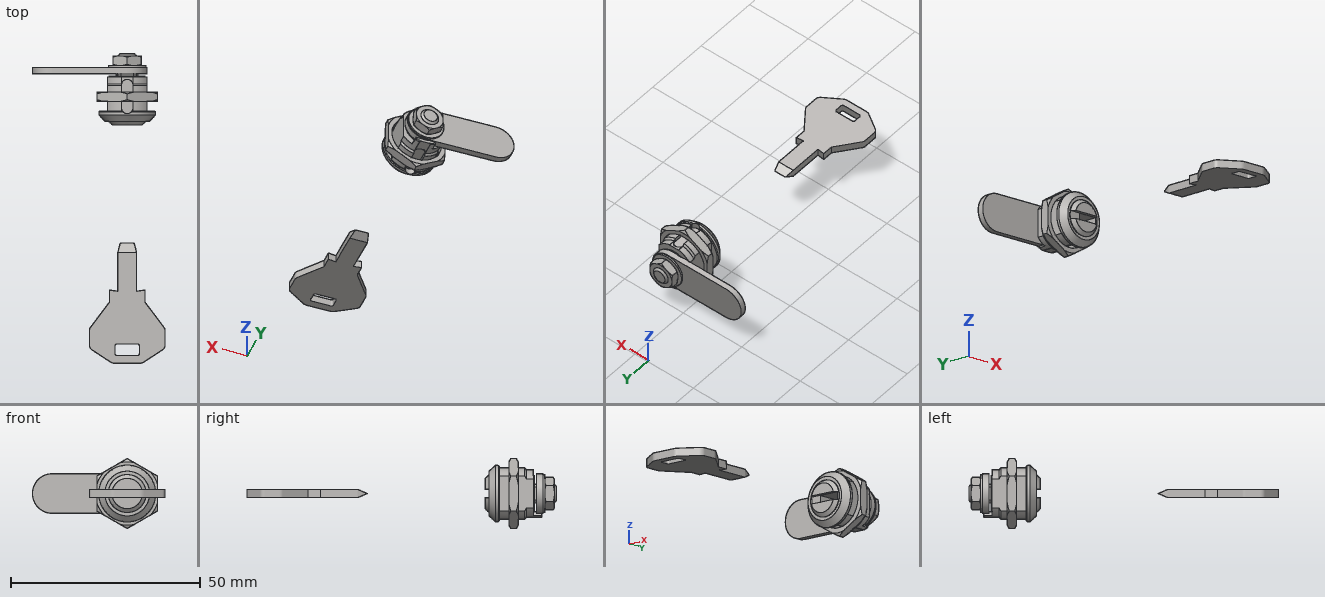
import cadquery as cq
import math


core_front_y = -3.75
housing_front_y = -2.75
panel_nut_y = 2.5
housing_rear_y = 9.0
core_shoulder_y = 9.25
cam_y = 9.75
key_tip_y = -34.75

barrel_radius = 7.0
barrel_flat_width = 10.5
neck_radius = 6.5
neck_length = 2.35
neck_taper = barrel_radius - neck_radius
flange_radius = 7.5
flange_front_radius = 5.9
flange_rim = 1.0
flange_rear_chamfer = 0.25
groove_width = 3.0
groove_floor_z = 6.2
pocket_floor_z = 5.8
pocket_front_y = -0.7
pocket_rear_y = 8.35

tab_inner_radius = 5.35
tab_half_angle = 26.5
tab_length = 2.25
tab_chamfer = 0.25

core_radius = 4.75
head_base_radius = 5.0
head_front_radius = 4.0
head_recess = 0.3
head_slot_width = 2.2
head_slot_depth = 1.0
keyway_left_x = -1.6
keyway_right_x = 4.4
keyway_height = 2.1
keyway_end_y = 8.5
stud_radius = 2.5
stud_tip_chamfer = 0.6
drive_square = 5.0
drive_corner_radius = 3.0

panel_nut_flats = 16.0
panel_nut_thickness = 2.5
panel_nut_face_radius = 8.35

cam_half_width = 5.25
cam_reach = 25.0
cam_thickness = 1.75

washer_radius = 5.0
washer_thickness = 0.5
flange_nut_flats = 7.5
flange_nut_height = 2.5
flange_nut_face_radius = 3.8
nut_chamfer_angle = 30.0

washer_y = cam_y + cam_thickness
flange_nut_y = washer_y + washer_thickness
flange_nut_rear_y = flange_nut_y + flange_nut_height
stud_end_y = flange_nut_rear_y + stud_tip_chamfer

key_thickness = 2.2
key_length = 31.75
blade_half_width = 2.5
blade_tip_half_width = 1.85
blade_tip_length = 2.5
blade_tip_round = 0.5
shoulder_y = key_tip_y - 12.4
shoulder_root_drop = 0.3
collar_half_width = 4.7
collar_end_y = key_tip_y - 15.6
bow_half_width = 10.0
bow_upper_y = key_tip_y - 22.65
bow_lower_y = key_tip_y - 27.75
bow_end_half_width = 3.9
bow_side_round = 1.5
bow_end_round = 2.2
ring_slot_width = 6.4
ring_slot_height = 3.0
ring_slot_offset = 2.1
ring_slot_round = 0.5
key_end_y = key_tip_y - key_length


def revolved(profile):
    """Solid of revolution about Y from (radius, y) points."""
    return cq.Workplane("XY").polyline(profile).close().revolve(360, (0, 0, 0), (0, 1, 0))


def cylinder(radius, y_start, y_end):
    return revolved([(0, y_start), (radius, y_start), (radius, y_end), (0, y_end)])


def box(x_range, y_range, z_range):
    low, high = zip(x_range, y_range, z_range)
    size = [b - a for a, b in zip(low, high)]
    return cq.Workplane("XY").box(*size, centered=False).translate(low)


def hexagon(flats, y_start, height, face_radius):
    """Hexagon with corners on Z whose corners are chamfered at both ends."""
    corner_radius = flats / math.sqrt(3)
    drop = (corner_radius - face_radius) * math.tan(math.radians(nut_chamfer_angle))
    y_end = y_start + height
    prism = (
        cq.Workplane("XZ", origin=(0, y_start, 0))
        .polygon(6, 2 * corner_radius)
        .extrude(-height)
        .rotate((0, 0, 0), (0, 1, 0), 30)
    )
    envelope = revolved([
        (0, y_start),
        (face_radius, y_start),
        (corner_radius, y_start + drop),
        (corner_radius, y_end - drop),
        (face_radius, y_end),
        (0, y_end),
    ])
    return prism.intersect(envelope)


def drive(y_start, y_end):
    """Square with rounded corners that turns the cam."""
    half = drive_square / 2
    square = box((-half, half), (y_start, y_end), (-half, half))
    return square.intersect(cylinder(drive_corner_radius, y_start, y_end))


def make_stop_tab():
    """Ring segment at the bottom of the housing's rear face, with flat room for the cam."""
    tab_end_y = housing_rear_y + tab_length
    ring = revolved([
        (tab_inner_radius, housing_rear_y - neck_length),
        (neck_radius, housing_rear_y - neck_length),
        (neck_radius, tab_end_y - tab_chamfer),
        (neck_radius - tab_chamfer, tab_end_y),
        (tab_inner_radius, tab_end_y),
    ])
    reach = 2 * neck_radius
    spread = reach * math.tan(math.radians(tab_half_angle))
    wedge = (
        cq.Workplane("XZ")
        .polyline([(0, 0), (spread, -reach), (-spread, -reach)])
        .close()
        .extrude(-2 * tab_end_y)
    )
    cam_clearance = box(
        (-neck_radius, neck_radius),
        (cam_y, tab_end_y),
        (-cam_half_width, 0),
    )
    return ring.intersect(wedge).cut(cam_clearance)


def make_housing():
    neck_start_y = housing_rear_y - neck_length
    barrel = revolved([
        (0, 0),
        (barrel_radius, 0),
        (barrel_radius, neck_start_y),
        (neck_radius, neck_start_y + neck_taper),
        (neck_radius, housing_rear_y),
        (0, housing_rear_y),
    ])
    half_flat = barrel_flat_width / 2
    barrel = barrel.intersect(
        box(
            (-half_flat, half_flat),
            (0, housing_rear_y),
            (-barrel_radius, barrel_radius),
        )
    )
    flange = revolved([
        (0, housing_front_y),
        (flange_front_radius, housing_front_y),
        (flange_radius, -flange_rim),
        (flange_radius, -flange_rear_chamfer),
        (flange_radius - flange_rear_chamfer, 0),
        (0, 0),
    ])
    body = barrel.union(make_stop_tab()).union(flange)

    groove = box(
        (-groove_width / 2, groove_width / 2),
        (0, housing_rear_y + tab_length),
        (groove_floor_z, flange_radius),
    )
    pocket = (
        cq.Workplane("XY", origin=(0, (pocket_front_y + pocket_rear_y) / 2, pocket_floor_z))
        .slot2D(pocket_rear_y - pocket_front_y, groove_width, 90)
        .extrude(flange_radius - pocket_floor_z)
    )
    key_groove = groove.union(pocket)
    body = body.cut(key_groove).cut(key_groove.mirror("XY"))

    bore = cylinder(core_radius, housing_front_y, housing_rear_y)
    recess = cylinder(head_base_radius, housing_front_y, housing_front_y + head_recess)
    return body.cut(bore).cut(recess)


def make_core():
    head_rear_y = housing_front_y + head_recess
    core = revolved([
        (0, core_front_y),
        (head_front_radius, core_front_y),
        (head_base_radius, housing_front_y),
        (head_base_radius, head_rear_y),
        (core_radius, head_rear_y),
        (core_radius, core_shoulder_y),
        (stud_radius, core_shoulder_y),
        (stud_radius, flange_nut_rear_y),
        (stud_radius - stud_tip_chamfer, stud_end_y),
        (0, stud_end_y),
    ])
    core = core.union(drive(core_shoulder_y, washer_y))
    slot_floor_y = core_front_y + head_slot_depth
    slot = box(
        (-head_base_radius, head_base_radius),
        (core_front_y, slot_floor_y),
        (-head_slot_width / 2, head_slot_width / 2),
    )
    keyway = box(
        (keyway_left_x, keyway_right_x),
        (core_front_y, keyway_end_y),
        (-keyway_height / 2, keyway_height / 2),
    )
    return core.cut(slot).cut(keyway)


def make_panel_nut():
    nut = hexagon(panel_nut_flats, panel_nut_y, panel_nut_thickness, panel_nut_face_radius)
    opening = cylinder(barrel_radius, panel_nut_y, panel_nut_y + panel_nut_thickness)
    return nut.cut(opening)


def make_cam():
    end_x = cam_half_width - cam_reach
    cam = (
        cq.Workplane("XZ", origin=(0, cam_y, 0))
        .moveTo(0, cam_half_width)
        .threePointArc((cam_half_width, 0), (0, -cam_half_width))
        .lineTo(end_x, -cam_half_width)
        .threePointArc((-cam_reach, 0), (end_x, cam_half_width))
        .close()
        .extrude(-cam_thickness)
    )
    return cam.cut(drive(cam_y, washer_y))


def make_flange_nut():
    washer = cylinder(washer_radius, washer_y, flange_nut_y)
    nut = hexagon(flange_nut_flats, flange_nut_y, flange_nut_height, flange_nut_face_radius)
    return washer.union(nut).cut(cylinder(stud_radius, washer_y, flange_nut_rear_y))


def make_key():
    half_outline = [
        (blade_tip_half_width, key_tip_y),
        (blade_half_width, key_tip_y - blade_tip_length),
        (blade_half_width, shoulder_y - shoulder_root_drop),
        (collar_half_width, shoulder_y),
        (collar_half_width, collar_end_y),
        (bow_half_width, bow_upper_y),
        (bow_half_width, bow_lower_y),
        (bow_end_half_width, key_end_y),
    ]
    mirrored = [(-x, y) for x, y in reversed(half_outline)]
    key = (
        cq.Workplane("XY", origin=(0, 0, -key_thickness / 2))
        .polyline(half_outline + mirrored)
        .close()
        .extrude(key_thickness)
    )
    rounds = [
        ((blade_tip_half_width, key_tip_y), blade_tip_round),
        ((bow_half_width, bow_upper_y), bow_side_round),
        ((bow_half_width, bow_lower_y), bow_side_round),
        ((bow_end_half_width, key_end_y), bow_end_round),
    ]
    for (x, y), radius in rounds:
        for side in (-1, 1):
            corner = cq.selectors.NearestToPointSelector((side * x, y, 0))
            key = key.edges("|Z").edges(corner).fillet(radius)

    ring_slot_y = key_end_y + ring_slot_offset
    ring_slot = box(
        (-ring_slot_width / 2, ring_slot_width / 2),
        (ring_slot_y, ring_slot_y + ring_slot_height),
        (-key_thickness, key_thickness),
    )
    key = key.cut(ring_slot.edges("|Z").fillet(ring_slot_round))

    half_thickness = key_thickness / 2
    side_profile = (
        cq.Workplane("YZ", origin=(-bow_half_width, 0, 0))
        .polyline([
            (key_tip_y, 0),
            (key_tip_y - blade_tip_length, half_thickness),
            (key_end_y, half_thickness),
            (key_end_y, -half_thickness),
            (key_tip_y - blade_tip_length, -half_thickness),
        ])
        .close()
        .extrude(2 * bow_half_width)
    )
    return key.intersect(side_profile)


housing = make_housing()
core = make_core()
panel_nut = make_panel_nut()
cam = make_cam()
flange_nut = make_flange_nut()
key = make_key()

result = cq.Compound.makeCompound([
    housing.val(),
    core.val(),
    panel_nut.val(),
    cam.val(),
    flange_nut.val(),
    key.val(),
])